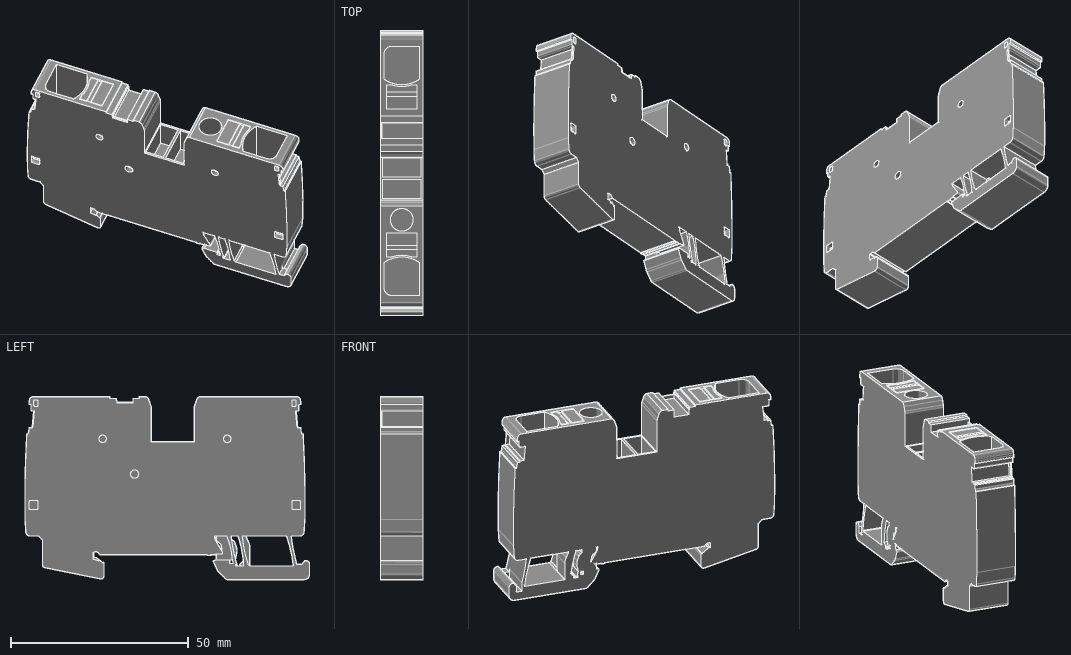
import cadquery as cq
import math


THICKNESS = 12.0
NEAR_FACE = -THICKNESS / 2
HEIGHT = 51.45
BODY_HALF_LENGTH = 39.4
BODY_BOTTOM = 12.28
END_BOW_RADIUS = 340.0
END_BOW_CENTER_Z = 22.0
BOW_TOP = 41.0
BOW_BOTTOM = 17.5
RAIL_SEAT = 7.0
CUT_MARGIN = 1.0

HOOK_END = 38.2
NECK_END = 37.65
NECK_TOP = 49.2
GROOVE_BACK = 36.58
GROOVE_FOOT = 37.0
GROOVE_LEDGE = 42.75
GROOVE_LIP = 0.35
GROOVE_TOP = 47.35
TOP_LABEL_REAR = 15.45
TOP_LABEL_FRONT = 7.24
TOP_LABEL_STEP = 0.45
TOP_LABEL_DEPTH = 1.85
TOP_LEDGE_LENGTH = 1.8
TOP_SEAT_REAR = TOP_LABEL_REAR - TOP_LEDGE_LENGTH
TOP_SEAT_FRONT = TOP_LABEL_FRONT + TOP_LEDGE_LENGTH
TOP_SEAT_LIP = 0.2
TOP_SEAT_LIP_DROP = 0.6
LABEL_RIDGE_WIDTH = 0.5
LABEL_RIDGE_HEIGHT = 0.35
LABEL_RIDGE_BEVEL = 0.25
LABEL_WELL_DEPTH = 0.8

NOTCH_REAR = 3.82
NOTCH_FRONT = -8.2
NOTCH_FLOOR = 38.8
NOTCH_SHOULDER = 48.5
NOTCH_BEVEL = 0.2
NOTCH_BEVEL_TOP = 49.2
NOTCH_LEAN = 0.65
NOTCH_LEAN_TOP = 50.45
NOTCH_ROUND_MIDDLE = (1.0, 51.1)
NOTCH_FLARE = 1.6
BRIDGE_POCKET_WIDTH = 10.9
BRIDGE_POCKET_DEPTH = 8.0
BRIDGE_POCKET_SPANS = ((-1.67, 3.6), (-7.7, -2.42))

WIRE_POCKET_WIDTH = 10.0
WIRE_POCKET_OUTER = 35.0
WIRE_POCKET_SHOULDER = 25.75
WIRE_POCKET_INNER = 24.2
WIRE_POCKET_CORNER = 2.2
WIRE_POCKET_DEPTH = 15.0
LEVER_WIDTH = 8.55
LEVER_INNER = 17.4
LEVER_OUTER = 24.15
LEVER_RECESS = 0.2
LEVER_GAP = 0.5
LEVER_GROOVE_INNER = 20.9
LEVER_GROOVE_OUTER = 22.1
LEVER_GROOVE_DEPTH = 0.6
TEST_HOLE_Y = -13.74
TEST_HOLE_RADIUS = 3.2
TEST_HOLE_DEPTH = 15.0

SIDE_RECESS_DEPTH = 1.5
SIDE_RECESS_CORNER = 0.3
LATCH_SLOT_Y, LATCH_SLOT_Z = 36.26, 49.6
LATCH_SLOT_WIDTH, LATCH_SLOT_HEIGHT = 1.2, 1.8
PIN_HOLE_Y, PIN_HOLE_Z, PIN_HOLE_RADIUS = 17.5, 39.6, 1.05
CENTER_HOLE_Y, CENTER_HOLE_Z, CENTER_HOLE_RADIUS = 8.53, 29.7, 1.17
SQUARE_Y, SQUARE_Z, SQUARE_SIZE = 36.9, 21.0, 2.5

FOOT_END = 34.45
FOOT_TOE = 17.1
CLIP_FLOOR = 3.87
CLIP_DECK = 5.6
CLIP_TIP = -40.69
LIP_VALLEY = 4.4
LIP_VALLEY_END = -38.5
LIP_TOP = 5.4
LIP_GROOVE_WALL = -36.85
LEG_WALL_SETBACK = 5.9
HOOK_WALL_SETBACK = 8.0
LEG_WALL_END = -23.9
LEG_ROOT = BODY_BOTTOM + 0.1
LEG_FOOT = CLIP_FLOOR - 0.3
CLIP_GROOVE_SETBACK = 2.5
CLIP_GROOVE_FLOOR = 2.5
FOOT_SLOT_SETBACK = 2.5
NUB_HEIGHT = 0.2
NUB_SPANS = ((16.7, 17.8), (-12.9, -11.9))


def rounded_profile(points):
    """Closed YZ wire; a point (y, z, r) has its corner rounded to radius r."""
    path = []
    count = len(points)
    for i, point in enumerate(points):
        y, z = point[:2]
        if len(point) == 2:
            path.append([(y, z)])
            continue
        before = cq.Vector(*points[i - 1][:2], 0)
        after = cq.Vector(*points[(i + 1) % count][:2], 0)
        corner = cq.Vector(y, z, 0)
        to_before = (before - corner).normalized()
        to_after = (after - corner).normalized()
        half_angle = to_before.getAngle(to_after) / 2
        setback = point[2] / math.tan(half_angle)
        to_center = (to_before + to_after).normalized()
        middle_distance = point[2] / math.sin(half_angle) - point[2]
        bends = (
            corner + to_before * setback,
            corner + to_center * middle_distance,
            corner + to_after * setback,
        )
        path.append([(bend.x, bend.y) for bend in bends])
    wire = cq.Workplane("YZ", origin=(NEAR_FACE, 0, 0)).moveTo(*path[0][-1])
    for stop in path[1:] + path[:1]:
        wire = wire.lineTo(*stop[0])
        if len(stop) > 1:
            wire = wire.threePointArc(stop[1], stop[2])
    return wire.close()


def plate(points, setback=0.0, depth=None):
    """Extrude a YZ profile along +X, starting setback behind the near face."""
    depth = THICKNESS - setback if depth is None else depth
    return rounded_profile(points).extrude(depth).translate((setback, 0, 0))


def rectangle(y_min, y_max, z_min, z_max):
    return [(y_min, z_min), (y_max, z_min), (y_max, z_max), (y_min, z_max)]


def box(width, y_min, y_max, z_min, z_max):
    """Box centred on X = 0."""
    block = cq.Workplane("XY").box(width, y_max - y_min, z_max - z_min)
    return block.translate((0, (y_min + y_max) / 2, (z_min + z_max) / 2))


def both_ends(shape):
    """A feature at the +Y end together with its mirror image at the -Y end."""
    return shape.union(shape.mirror("XZ"))


def housing():
    """Main housing block above the rail feet, one half mirrored to the other."""
    half = plate([
        (0, HEIGHT),
        (HOOK_END - 0.2, HEIGHT, 1.1),
        (HOOK_END, 49.9),
        (HOOK_END, NECK_TOP),
        (NECK_END, NECK_TOP),
        (NECK_END, GROOVE_TOP, 0.4),
        (GROOVE_BACK, GROOVE_TOP),
        (GROOVE_FOOT, GROOVE_LEDGE + GROOVE_LIP),
        (GROOVE_FOOT + GROOVE_LIP, GROOVE_LEDGE + GROOVE_LIP),
        (GROOVE_FOOT + GROOVE_LIP, GROOVE_LEDGE),
        (HOOK_END, GROOVE_LEDGE),
        (HOOK_END + 0.1, 41.6),
        (HOOK_END + 0.35, BOW_TOP),
        (BODY_HALF_LENGTH, BOW_TOP),
        (BODY_HALF_LENGTH, BOW_BOTTOM),
        (39.05, BODY_BOTTOM, 1.2),
        (0, BODY_BOTTOM),
    ])
    bow = (
        cq.Workplane("YZ", origin=(NEAR_FACE, BODY_HALF_LENGTH - END_BOW_RADIUS, END_BOW_CENTER_Z))
        .circle(END_BOW_RADIUS)
        .extrude(THICKNESS)
    )
    return both_ends(half.intersect(bow))


def rail_seat():
    """Body below the housing down to the rail, with the hook at its -Y end."""
    seat = plate([
        (34.0, BODY_BOTTOM),
        (34.0, RAIL_SEAT),
        (-14.3, RAIL_SEAT),
        (-14.3, RAIL_SEAT + 0.2),
        (-16.25, RAIL_SEAT + 0.3, 0.2),
        (-16.1, 7.9),
        (-14.2, 11.2),
        (-13.9, BODY_BOTTOM),
    ])
    for y_min, y_max in NUB_SPANS:
        seat = seat.union(plate(rectangle(y_min, y_max, RAIL_SEAT - NUB_HEIGHT, RAIL_SEAT)))
    return seat


def fixed_foot():
    """Rigid foot at the +Y side, with the slot that takes the rail flange."""
    foot = plate([
        (35.5, BODY_BOTTOM + CUT_MARGIN),
        (35.5, BODY_BOTTOM),
        (FOOT_END, BODY_BOTTOM - 1.1),
        (FOOT_END, 3.5, 0.9),
        (FOOT_TOE, 0, 0.9),
        (FOOT_TOE, 4.9, 0.7),
        (18.9, 6.0),
        (18.9, BODY_BOTTOM + CUT_MARGIN),
    ])
    flange_slot = plate([
        (20.0, 7.8, 0.3),
        (20.0, 6.3),
        (19.4, 6.3),
        (17.4, 4.8),
        (16.5, RAIL_SEAT),
        (18.2, RAIL_SEAT),
        (19.0, 7.8, 0.3),
    ])
    near_relief = plate([
        (20.25, 7.7),
        (20.25, 5.8),
        (18.5, 5.3),
        (18.5, 7.2),
        (19.0, 7.7),
    ], depth=FOOT_SLOT_SETBACK)
    return foot, flange_slot.union(near_relief)


def clip_base():
    """Lower bar of the spring clip with its release lip."""
    bar = plate([
        (-13.5, 5.3, 0.15),
        (-14.3, CLIP_DECK),
        (-18.25, CLIP_DECK),
        (-18.25, 4.6),
        (-19.1, 4.6),
        (-19.1, CLIP_DECK),
        (-19.5, CLIP_DECK),
        (-20.0, CLIP_FLOOR),
        (-22.3, CLIP_FLOOR),
        (-22.3, CLIP_FLOOR + 0.45),
        (-23.3, CLIP_FLOOR + 0.45),
        (-23.95, CLIP_FLOOR),
        (-36.0, CLIP_FLOOR),
        (-36.1, LIP_VALLEY),
        (LIP_VALLEY_END, LIP_VALLEY),
        (-39.3, LIP_TOP, 0.3),
        (CLIP_TIP, LIP_TOP, 1.1),
        (CLIP_TIP, 0, 1.6),
        (-17.3, 0, 0.7),
        (-14.8, 2.45, 2.0),
    ])
    lip_groove = plate(
        rectangle(LIP_VALLEY_END, LIP_GROOVE_WALL, CLIP_GROOVE_FLOOR, LIP_TOP + 0.15),
        setback=CLIP_GROOVE_SETBACK,
    )
    return bar, lip_groove


def spring_leg(outline):
    """Curved leg: two (top, middle, bottom) edge curves joined at their ends."""
    near_edge, far_edge = outline
    leg = cq.Workplane("YZ", origin=(NEAR_FACE, 0, 0)).moveTo(*near_edge[0])
    leg = leg.threePointArc(near_edge[1], near_edge[2])
    leg = leg.lineTo(*far_edge[2])
    leg = leg.threePointArc(far_edge[1], far_edge[0])
    return leg.close().extrude(THICKNESS)


def clip_legs():
    """Three spring legs that join the clip base to the housing."""
    inner = (
        ((-17.35, LEG_ROOT), (-18.3, 9.6), (-18.95, 5.3)),
        ((-18.6, LEG_ROOT), (-19.05, 9.2), (-20.48, LEG_FOOT)),
    )
    middle = (
        ((-20.5, LEG_ROOT), (-21.45, 9.0), (-22.15, LEG_FOOT)),
        ((-21.75, LEG_ROOT), (-22.25, 8.6), (-23.65, LEG_FOOT)),
    )
    outer = (
        ((-34.1, LEG_ROOT), (-35.2, 8.7), (-36.1, LEG_FOOT)),
        ((-35.5, LEG_ROOT), (-36.1, 8.4), (-37.3, LEG_FOOT)),
    )
    legs = spring_leg(inner)
    for outline in (middle, outer):
        legs = legs.union(spring_leg(outline))
    return legs


def clip_rear_walls():
    """Walls behind the clip gaps, set back from the near face."""
    hook_wall = plate([
        (-14.35, LEG_ROOT),
        (-14.35, 11.0),
        (-15.7, 10.0, 1.0),
        (-16.0, 8.5),
        (-16.0, RAIL_SEAT + 0.3),
        (-14.45, RAIL_SEAT + 0.2),
        (-14.3, 5.5),
        (-19.8, 5.5),
        (-20.38, 8.3, 3.0),
        (-19.6, 10.7, 1.5),
        (-18.7, 11.4),
        (-18.7, LEG_ROOT),
    ], setback=HOOK_WALL_SETBACK)
    leg_wall = plate([
        (-21.6, LEG_ROOT),
        (-22.7, LEG_ROOT),
        (LEG_WALL_END, 9.8, 4.0),
        (LEG_WALL_END, LEG_FOOT),
        (-21.3, LEG_FOOT),
        (-21.0, 4.3),
        (-22.1, 5.4),
    ], setback=LEG_WALL_SETBACK)
    return hook_wall.union(leg_wall)


def notch():
    """Central notch; each wall leans outward in two steps, then rounds over."""
    round_y, round_z = NOTCH_ROUND_MIDDLE
    margin_top = HEIGHT + CUT_MARGIN
    outline = cq.Workplane("YZ", origin=(NEAR_FACE, 0, 0))
    outline = (
        outline.moveTo(NOTCH_REAR, NOTCH_FLOOR)
        .lineTo(NOTCH_REAR, NOTCH_SHOULDER)
        .lineTo(NOTCH_REAR + NOTCH_BEVEL, NOTCH_BEVEL_TOP)
        .lineTo(NOTCH_REAR + NOTCH_LEAN, NOTCH_LEAN_TOP)
        .threePointArc((NOTCH_REAR + round_y, round_z), (NOTCH_REAR + NOTCH_FLARE, HEIGHT))
        .lineTo(NOTCH_REAR + NOTCH_FLARE, margin_top)
        .lineTo(NOTCH_FRONT - NOTCH_FLARE, margin_top)
        .lineTo(NOTCH_FRONT - NOTCH_FLARE, HEIGHT)
        .threePointArc((NOTCH_FRONT - round_y, round_z), (NOTCH_FRONT - NOTCH_LEAN, NOTCH_LEAN_TOP))
        .lineTo(NOTCH_FRONT - NOTCH_BEVEL, NOTCH_BEVEL_TOP)
        .lineTo(NOTCH_FRONT, NOTCH_SHOULDER)
        .lineTo(NOTCH_FRONT, NOTCH_FLOOR)
    )
    return outline.close().extrude(THICKNESS)


def bridge_pockets():
    pockets = cq.Workplane("XY")
    for y_min, y_max in BRIDGE_POCKET_SPANS:
        floor = NOTCH_FLOOR - BRIDGE_POCKET_DEPTH
        pockets = pockets.add(box(BRIDGE_POCKET_WIDTH, y_min, y_max, floor, NOTCH_FLOOR + CUT_MARGIN))
    return pockets.combine()


def top_label_groove():
    """Stepped label seat cut into the top face."""
    margin_top = HEIGHT + CUT_MARGIN
    step = HEIGHT - TOP_LABEL_STEP
    floor = HEIGHT - TOP_LABEL_DEPTH
    return plate([
        (TOP_LABEL_REAR, margin_top),
        (TOP_LABEL_REAR, step),
        (TOP_SEAT_REAR, step),
        (TOP_SEAT_REAR, step - TOP_SEAT_LIP_DROP),
        (TOP_SEAT_REAR - TOP_SEAT_LIP, step - TOP_SEAT_LIP_DROP),
        (TOP_SEAT_REAR - TOP_SEAT_LIP, floor),
        (TOP_SEAT_FRONT, floor),
        (TOP_SEAT_FRONT, step),
        (TOP_LABEL_FRONT, step),
        (TOP_LABEL_FRONT, margin_top),
    ])


def top_label_ridge():
    """Low ridge with a bevelled outer edge along the near side of the top label seat."""
    floor = HEIGHT - TOP_LABEL_DEPTH
    ridge = plate(
        rectangle(TOP_SEAT_FRONT, TOP_SEAT_REAR - TOP_SEAT_LIP, floor, floor + LABEL_RIDGE_HEIGHT),
        depth=LABEL_RIDGE_WIDTH,
    )
    return ridge.faces("<X").edges(">Z").chamfer(LABEL_RIDGE_BEVEL)


def end_label_ridges():
    """Matching ridges along the near side of the label grooves in both end faces."""
    ridge = plate([
        (GROOVE_BACK, GROOVE_TOP),
        (GROOVE_BACK + LABEL_RIDGE_HEIGHT, GROOVE_TOP),
        (GROOVE_FOOT + LABEL_RIDGE_HEIGHT, GROOVE_LEDGE),
        (GROOVE_FOOT, GROOVE_LEDGE),
    ], depth=LABEL_RIDGE_WIDTH)
    ridge = ridge.faces("<X").edges("not |Y").edges(">Y").chamfer(LABEL_RIDGE_BEVEL)
    return both_ends(ridge)


def label_wells():
    """Deeper floors behind the ridges in the top and end label grooves."""
    floor = HEIGHT - TOP_LABEL_DEPTH
    end_well = plate([
        (GROOVE_BACK - LABEL_WELL_DEPTH, GROOVE_TOP),
        (HOOK_END, GROOVE_TOP),
        (HOOK_END, GROOVE_LEDGE + GROOVE_LIP),
        (GROOVE_FOOT - LABEL_WELL_DEPTH, GROOVE_LEDGE + GROOVE_LIP),
    ], setback=LABEL_RIDGE_WIDTH)
    top_well = plate(
        rectangle(TOP_SEAT_FRONT, TOP_SEAT_REAR - TOP_SEAT_LIP, floor - LABEL_WELL_DEPTH, HEIGHT),
        setback=LABEL_RIDGE_WIDTH,
    )
    return both_ends(end_well).union(top_well)


def wire_pocket(y_offset, depth):
    """Wire entry at +Y: arched inner end and one rounded outer corner."""
    half_width = WIRE_POCKET_WIDTH / 2
    return (
        cq.Workplane("XY", origin=(0, y_offset, HEIGHT))
        .moveTo(-half_width, WIRE_POCKET_SHOULDER)
        .threePointArc((0, WIRE_POCKET_INNER), (half_width, WIRE_POCKET_SHOULDER))
        .lineTo(half_width, WIRE_POCKET_OUTER)
        .lineTo(-half_width + WIRE_POCKET_CORNER, WIRE_POCKET_OUTER)
        .radiusArc((-half_width, WIRE_POCKET_OUTER - WIRE_POCKET_CORNER), -WIRE_POCKET_CORNER)
        .close()
        .extrude(-depth)
    )


def lever_recess():
    """Shallow lever recess beside the wire entry, crossed by a finger groove."""
    margin_top = HEIGHT + CUT_MARGIN
    recess = box(LEVER_WIDTH, LEVER_INNER, LEVER_OUTER, HEIGHT - LEVER_RECESS, margin_top)
    groove = box(
        LEVER_WIDTH, LEVER_GROOVE_INNER, LEVER_GROOVE_OUTER, HEIGHT - LEVER_GROOVE_DEPTH, margin_top
    )
    rim = wire_pocket(-LEVER_GAP, LEVER_RECESS)
    return recess.cut(rim).union(groove)


def test_hole():
    hole = cq.Workplane("XY", origin=(0, TEST_HOLE_Y, HEIGHT)).circle(TEST_HOLE_RADIUS)
    return hole.extrude(-TEST_HOLE_DEPTH)


def side_recesses():
    """Blind holes and pockets in the near face, mostly mirrored end to end."""
    face = cq.Workplane("YZ", origin=(NEAR_FACE, 0, 0))
    latch = (
        face.center(LATCH_SLOT_Y, LATCH_SLOT_Z)
        .rect(LATCH_SLOT_WIDTH, LATCH_SLOT_HEIGHT)
        .extrude(SIDE_RECESS_DEPTH)
        .edges("|X")
        .fillet(SIDE_RECESS_CORNER)
    )
    pin = face.center(PIN_HOLE_Y, PIN_HOLE_Z).circle(PIN_HOLE_RADIUS).extrude(SIDE_RECESS_DEPTH)
    square = (
        face.center(SQUARE_Y, SQUARE_Z)
        .rect(SQUARE_SIZE, SQUARE_SIZE)
        .extrude(SIDE_RECESS_DEPTH)
        .edges("|X")
        .fillet(SIDE_RECESS_CORNER)
    )
    center = face.center(CENTER_HOLE_Y, CENTER_HOLE_Z).circle(CENTER_HOLE_RADIUS)
    recesses = both_ends(latch.union(pin).union(square))
    return recesses.union(center.extrude(SIDE_RECESS_DEPTH))


foot_body, foot_slot = fixed_foot()
clip_bar, lip_groove = clip_base()
clip = clip_bar.union(clip_legs()).union(clip_rear_walls()).cut(lip_groove)

result = (
    housing()
    .union(rail_seat())
    .union(foot_body)
    .cut(foot_slot)
    .union(clip)
    .cut(notch())
    .cut(bridge_pockets())
    .cut(top_label_groove())
    .union(top_label_ridge())
    .union(end_label_ridges())
    .cut(label_wells())
    .cut(both_ends(wire_pocket(0, WIRE_POCKET_DEPTH)))
    .cut(both_ends(lever_recess()))
    .cut(test_hole())
    .cut(side_recesses())
)